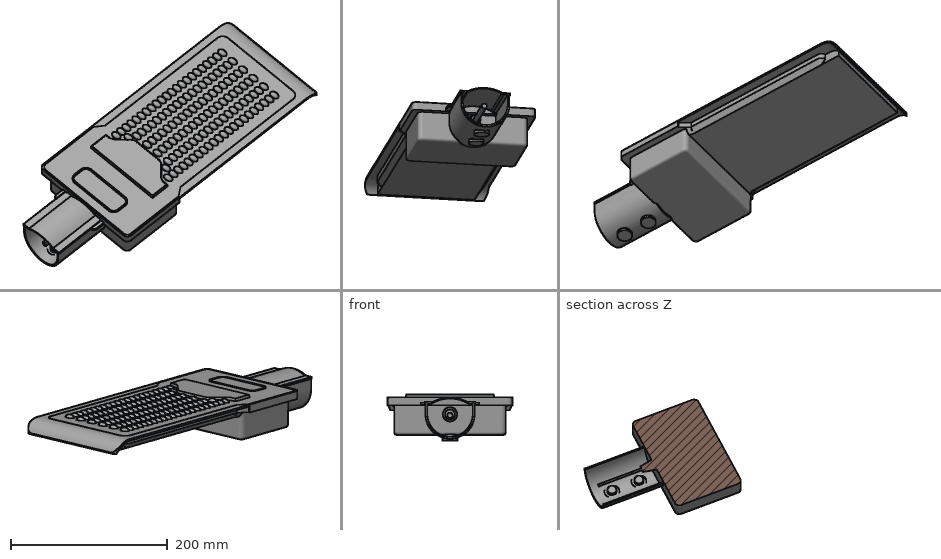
import cadquery as cq
import math


overall_length = 420.0
plate_width = 160.0
tip_y = overall_length / 2
mouth_y = -overall_length / 2
plate_back_y = 187.0
plate_front_y = -134.5
plate_depth = 10.5
plate_corner_radius = 6.5
visor_thickness = 2.5
lamp_half_width = 69.0
rim_inset = 2.0
lamp_back_y = 182.3
flare_back_y = -28.0
flare_front_y = -40.7
lamp_corner_radius = 9.2
panel_rise = 0.2
lens_bevel = 6.0
lens_bottom_z = -17.5
lens_end_y = 202.5

lip_radius = 25.0
lip_tip_z = -17.0
lip_corner_radius = 10.0

bump_radius = 4.5
bump_half_width = 6.7
bump_height = 3.8
bump_rows = 20
outer_extra_rows = 2
bump_pitch_x = 19.0
bump_pitch_y = 9.05
first_bump_y = 160.5
bump_columns = 6
shifted_bump_x = 34.5

cover_height = 3.8
cover_half_width = 56.5
cover_front_y = -66.5
cover_shoulder_y = -38.5
cover_nose_y = -18.0
cover_nose_half_width = 24.5
cover_slope_half_width = 45.0
cover_bend_radius = 12.5
cover_draft_angle = 15
label_length = 80.5
label_height = 30.0
label_y = -105.0
label_corner_radius = 9.2
label_groove_width = 1.5
label_groove_depth = 1.0

box_half_width = 71.5
box_back_y = -34.5
box_front_y = -126.5
box_bottom_z = -48.5
box_corner_radius = 6.5
box_bottom_radius = 3.8

socket_half_width = 31.5
socket_wall = 2.5
socket_start_y = -122.5
socket_bend_z = -23.0
socket_bottom_z = -53.0
lid_half_width = 32.5
lid_top_z = -6.0
lid_bottom_z = -8.5
lid_corner_radius = 3.0
roof_half_width = 25.5
roof_top_z = -0.5
roof_edge_z = -8.0
roof_thickness = 1.3
gusset_half_width = 37.5
gusset_front_y = -152.5
gusset_top_z = -7.0
gusset_bottom_z = -9.5
gusset_corner_radius = 6.5

gland_z = -22.0
gland_radius = 9.2
gland_tip_radius = 6.5
gland_length = 17.0
cable_z = -23.0
cable_radius = 3.5
cable_end_y = -204.0

bolt_ys = (-147.5, -185.2)
bolt_head_radius = 9.5
bolt_bottom_z = -55.5
bolt_head_top_z = -51.2
bolt_shank_radius = 6.0
bolt_tip_z = -47.0


def block(half_width, back_y, front_y, bottom_z, top_z):
    """Rectangular block centred on X = 0."""
    return (
        cq.Workplane("XY")
        .box(2 * half_width, back_y - front_y, top_z - bottom_z, centered=(True, False, False))
        .translate((0, front_y, bottom_z))
    )


def lamp_outline(z):
    """Lamp outline: narrow at the back and flaring out to the rim at the front."""
    wide = plate_width / 2 - rim_inset
    front_y = plate_front_y + rim_inset
    return cq.Workplane("XY").workplane(offset=z).polyline([
        (-lamp_half_width, lamp_back_y),
        (lamp_half_width, lamp_back_y),
        (lamp_half_width, flare_back_y),
        (wide, flare_front_y),
        (wide, front_y),
        (-wide, front_y),
        (-wide, flare_front_y),
        (-lamp_half_width, flare_back_y),
    ]).close()


def lamp_prism(bottom_z, height):
    """Lamp outline as a prism with rounded upright corners."""
    prism = lamp_outline(bottom_z).extrude(height)
    prism = prism.edges("|Z and >Y").fillet(lamp_corner_radius)
    return prism.edges("|Z and <Y").fillet(plate_corner_radius)


def make_lamp_plate():
    """Thin visor plate, deeper at the front, over the lamp body with its bevelled underside."""
    visor = block(plate_width / 2, plate_back_y, plate_front_y, -visor_thickness, 0)
    front = block(plate_width / 2, flare_front_y, plate_front_y, -plate_depth, 0)
    plate = visor.union(front).edges("|Z and <Y").fillet(plate_corner_radius)
    lamp = lamp_prism(-plate_depth, panel_rise + plate_depth)
    bevel_height = -plate_depth - lens_bottom_z
    bevel_angle = math.degrees(math.atan(lens_bevel / bevel_height))
    bevel = lamp.faces("<Z").wires().toPending().extrude(-bevel_height, taper=bevel_angle, combine=False)
    bevel = bevel.intersect(block(plate_width / 2, lamp_back_y, box_back_y, lens_bottom_z, 0))
    return plate.union(lamp).union(bevel)


def make_lip():
    """Curved lip that bends down at the tip, with the lens end filling the space below it."""
    inner_radius = lip_radius - visor_thickness
    overlap = visor_thickness / 2
    half_width = plate_width / 2
    lens_half_width = lamp_half_width - lens_bevel
    centre = (plate_back_y, -lip_radius)
    ring = cq.Workplane("YZ", origin=(-half_width, 0, 0)).center(*centre)
    ring = ring.circle(lip_radius).circle(inner_radius).extrude(plate_width)
    reach = block(half_width, tip_y, plate_back_y, lip_tip_z, 0)
    lip = ring.intersect(reach.edges("|Z and >Y").fillet(lip_corner_radius))

    under_lip = cq.Workplane("YZ").center(*centre).circle(inner_radius + overlap)
    under_lip = under_lip.extrude(lens_half_width, both=True)
    lens_front_y = lamp_back_y - lamp_corner_radius
    lens_end = block(lens_half_width, lens_end_y, lens_front_y, lens_bottom_z, -overlap)
    return lip.union(lens_end.intersect(under_lip))


def bump_centres():
    """Centres of all bumps: six columns, the outer two longer, and two shifted bumps."""
    centres = []
    for column in range(bump_columns):
        x = (column - (bump_columns - 1) / 2) * bump_pitch_x
        is_outer = column in (0, bump_columns - 1)
        rows = bump_rows + outer_extra_rows if is_outer else bump_rows
        for row in range(rows):
            centres.append((x, first_bump_y - row * bump_pitch_y))
    shifted_y = first_bump_y - bump_rows * bump_pitch_y
    centres += [(-shifted_bump_x, shifted_y), (shifted_bump_x, shifted_y)]
    return centres


def make_bumps():
    """Oval domes, each the upper part of an ellipsoid that is long in X."""
    ellipsoid = (
        cq.Workplane("XY")
        .ellipseArc(bump_half_width, bump_radius, 0, 180, startAtCurrent=False)
        .close()
        .revolve(360, (0, 0, 0), (1, 0, 0))
        .translate((0, 0, bump_height - bump_radius))
    )
    dome = ellipsoid.intersect(block(bump_half_width, bump_radius, -bump_radius, 0, bump_height))
    return [dome.translate((x, y, 0)) for x, y in bump_centres()]


def make_cover():
    """Raised cover with a nose towards the bumps and drafted sides."""
    right = [
        (cover_half_width, cover_front_y),
        (cover_half_width, cover_shoulder_y),
        (cover_slope_half_width, cover_shoulder_y),
        (cover_nose_half_width, cover_nose_y),
    ]
    left = [(-x, y) for x, y in reversed(right)]
    wire = cq.Wire.makePolygon([cq.Vector(x, y, 0) for x, y in right + left], close=True)
    bends = [v for v in wire.Vertices() if abs(v.X) < cover_half_width - rim_inset]
    wire = wire.fillet2D(cover_bend_radius, bends)
    return cq.Workplane("XY").add(wire).toPending().extrude(cover_height, taper=cover_draft_angle)


def make_label_groove():
    """Narrow groove around the rounded label field."""
    depth = label_groove_depth + panel_rise
    outer = cq.Workplane("XY").rect(label_length, label_height).extrude(depth)
    outer = outer.edges("|Z").fillet(label_corner_radius)
    inner = cq.Workplane("XY").rect(
        label_length - 2 * label_groove_width, label_height - 2 * label_groove_width
    ).extrude(depth)
    inner = inner.edges("|Z").fillet(label_corner_radius - label_groove_width)
    return outer.cut(inner).translate((0, label_y, -label_groove_depth))


def make_driver_box():
    """Box below the front half of the plate."""
    box = block(box_half_width, box_back_y, box_front_y, box_bottom_z, -visor_thickness)
    return box.edges("|Z").fillet(box_corner_radius).faces("<Z").edges().fillet(box_bottom_radius)


def trough_profile(inset):
    """Open-top socket section, moved inwards by the inset."""
    half = socket_half_width - inset
    return (
        cq.Workplane("XZ", origin=(0, socket_start_y, 0))
        .moveTo(-half, lid_bottom_z)
        .lineTo(-half, socket_bend_z)
        .threePointArc((0, socket_bottom_z + inset), (half, socket_bend_z))
        .lineTo(half, lid_bottom_z)
        .close()
    )


def roof_profile(drop):
    """Circular segment below the roof arc, lowered by the drop."""
    return (
        cq.Workplane("XZ", origin=(0, socket_start_y, 0))
        .moveTo(-roof_half_width, roof_edge_z - drop)
        .threePointArc((0, roof_top_z - drop), (roof_half_width, roof_edge_z - drop))
        .close()
    )


def make_socket():
    """Thin-walled socket: trough below, arched roof with side ledges above, and a gusset plate."""
    length = socket_start_y - mouth_y
    ledges = block(lid_half_width, plate_front_y, mouth_y, lid_bottom_z, lid_top_z)
    ledges = ledges.edges("|Z and >Y").fillet(lid_corner_radius)
    gusset = block(gusset_half_width, plate_front_y, gusset_front_y, gusset_bottom_z, gusset_top_z)
    gusset = gusset.edges("|Z and <Y").fillet(gusset_corner_radius)
    shell = trough_profile(0).extrude(length).union(gusset).union(ledges)
    shell = shell.union(roof_profile(0).extrude(length))
    bore = trough_profile(socket_wall).extrude(length)
    return shell.cut(bore).cut(roof_profile(roof_thickness).extrude(length))


def make_cable_outlet():
    """Tapered gland on the box wall with the cable end running towards the mouth."""
    gland = cq.Workplane(cq.Solid.makeCone(
        gland_radius, gland_tip_radius, gland_length,
        cq.Vector(0, box_front_y, gland_z), cq.Vector(0, -1, 0),
    ))
    cable = cq.Workplane("XZ", origin=(0, box_front_y, cable_z)).circle(cable_radius)
    return gland.union(cable.extrude(box_front_y - cable_end_y))


def make_bolt(y):
    """Clamp bolt below the socket: round head and a short shank through the wall."""
    head = cq.Workplane("XY", origin=(0, y, bolt_bottom_z)).circle(bolt_head_radius)
    head = head.extrude(bolt_head_top_z - bolt_bottom_z)
    shank = cq.Workplane("XY", origin=(0, y, bolt_head_top_z)).circle(bolt_shank_radius)
    return head.union(shank.extrude(bolt_tip_z - bolt_head_top_z))


def make_housing(bolts):
    """Complete lamp housing with seats for the bolts."""
    body = make_socket()
    for feature in (make_lamp_plate(), make_driver_box(), make_lip(), make_cable_outlet(), make_cover()):
        body = body.union(feature)
    body = body.cut(make_label_groove())
    for bolt in bolts:
        body = body.cut(bolt)
    return cq.Workplane(body.val().fuse(*[bump.val() for bump in make_bumps()]))


bolts = [make_bolt(y) for y in bolt_ys]
housing = make_housing(bolts)
result = cq.Compound.makeCompound([housing.solids().val(), *[bolt.solids().val() for bolt in bolts]])